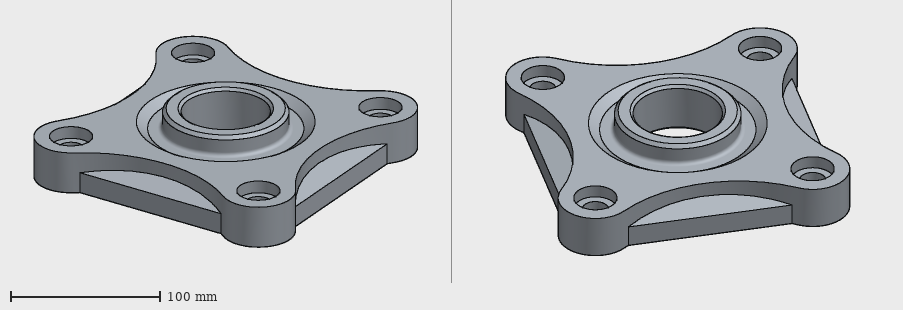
import cadquery as cq
import math

bolt_offset = 75.0
ear_radius = 25.0
flange_height = 30.0
waist_half_width = 75.0

skirt_width = 185.0
skirt_edge_height = 15.0
skirt_slope = 15.0

bolt_hole_diameter = 17.5
counterbore_diameter = 29.0
counterbore_depth = 8.8

recess_top_diameter = 120.0
recess_floor_diameter = 105.0
recess_depth = 5.0

total_height = 40.0
hub_diameter = 85.0
hub_chamfer = 2.5
hub_root_fillet = 3.0
bore_diameter = 60.0
bore_chamfer = 2.0

relief_diameter = hub_diameter
relief_depth = 5.0

recess_floor = flange_height - recess_depth
bolt_points = [(sx * bolt_offset, sy * bolt_offset) for sx in (-1, 1) for sy in (-1, 1)]

waist_step = waist_half_width - bolt_offset
side_radius = (bolt_offset**2 + waist_step**2 - ear_radius**2) / (2 * (ear_radius - waist_step))
side_centre = waist_half_width + side_radius


def rotate_point(point, angle):
    """Turn a plan point about the origin by an angle in degrees."""
    x, y = point
    c = math.cos(math.radians(angle))
    s = math.sin(math.radians(angle))
    return (x * c - y * s, x * s + y * c)


def make_flange():
    """Plate bounded by four convex ears joined by four concave arcs."""
    ear_share = ear_radius / (ear_radius + side_radius)
    tangent_x = bolt_offset * (1 - ear_share)
    tangent_y = bolt_offset + (side_centre - bolt_offset) * ear_share
    ear_tip = bolt_offset + ear_radius / math.sqrt(2)

    outline = cq.Workplane("XY").moveTo(-tangent_x, -tangent_y)
    for angle in (0, 90, 180, 270):
        waist = rotate_point((0, -waist_half_width), angle)
        ear_start = rotate_point((tangent_x, -tangent_y), angle)
        tip = rotate_point((ear_tip, -ear_tip), angle)
        ear_end = rotate_point((tangent_y, -tangent_x), angle)
        outline = outline.threePointArc(waist, ear_start).threePointArc(tip, ear_end)
    return outline.close().extrude(flange_height)


def make_skirt():
    """Square slab with a shallow pyramid top, cut off level with the recess floor."""
    slope_height = recess_floor - skirt_edge_height
    slab = cq.Workplane("XY").rect(skirt_width, skirt_width).extrude(skirt_edge_height)
    slope = (
        cq.Workplane("XY", origin=(0, 0, skirt_edge_height))
        .rect(skirt_width, skirt_width)
        .extrude(slope_height, taper=90 - skirt_slope)
    )
    return slab.union(slope)


def make_cone(bottom_z, height, bottom_radius, top_radius):
    """Truncated cone standing on the Z axis."""
    return (
        cq.Workplane("XY", origin=(0, 0, bottom_z))
        .circle(bottom_radius)
        .workplane(offset=height)
        .circle(top_radius)
        .loft(ruled=True)
    )


def make_recess():
    """Conical dish sunk into the flange face."""
    return make_cone(recess_floor, recess_depth, recess_floor_diameter / 2, recess_top_diameter / 2)


def make_hub():
    """Solid hub rising from the recess floor, filleted at its root and chamfered on top."""
    hub_radius = hub_diameter / 2
    fillet_middle = hub_root_fillet * (1 - 1 / math.sqrt(2))
    root_radius = hub_radius + hub_root_fillet
    return (
        cq.Workplane("XZ")
        .lineTo(root_radius, 0)
        .lineTo(root_radius, recess_floor)
        .threePointArc(
            (hub_radius + fillet_middle, recess_floor + fillet_middle),
            (hub_radius, recess_floor + hub_root_fillet),
        )
        .lineTo(hub_radius, total_height - hub_chamfer)
        .lineTo(hub_radius - hub_chamfer, total_height)
        .lineTo(0, total_height)
        .close()
        .revolve(360, (0, 0), (0, 1))
    )


def make_bore():
    """Through bore, chamfered at both hub faces and opening into the relief below."""
    bore_radius = bore_diameter / 2
    rim_radius = bore_radius + bore_chamfer
    bore = cq.Workplane("XY").circle(bore_radius).extrude(total_height)
    relief = cq.Workplane("XY").circle(relief_diameter / 2).extrude(relief_depth)
    top_rim = make_cone(total_height - bore_chamfer, bore_chamfer, bore_radius, rim_radius)
    bottom_rim = make_cone(relief_depth, bore_chamfer, rim_radius, bore_radius)
    return bore.union(relief).union(top_rim).union(bottom_rim)


def make_bolt_holes():
    """Counterbored through hole at the centre of each ear."""
    holes = (
        cq.Workplane("XY")
        .pushPoints(bolt_points)
        .circle(bolt_hole_diameter / 2)
        .extrude(flange_height)
    )
    counterbores = (
        cq.Workplane("XY", origin=(0, 0, flange_height - counterbore_depth))
        .pushPoints(bolt_points)
        .circle(counterbore_diameter / 2)
        .extrude(counterbore_depth)
    )
    return holes.union(counterbores)


body = make_flange().union(make_skirt()).cut(make_recess()).union(make_hub())
result = body.cut(make_bore()).cut(make_bolt_holes())